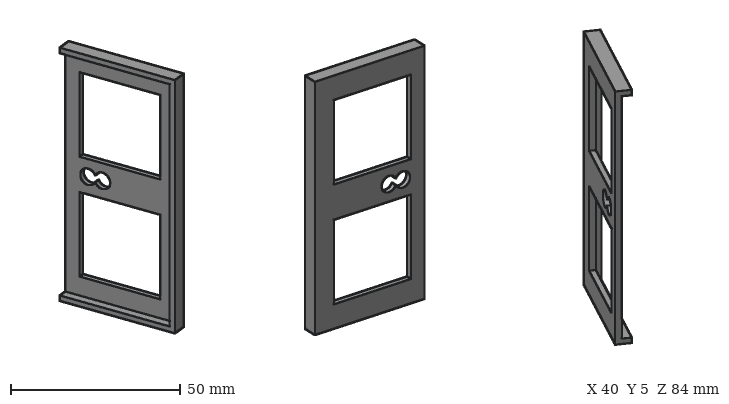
import cadquery as cq

width = 40.0
depth = 5.0
height = 84.0

rim = 1.85
web_thickness = 2.0

window_size = 28.0
window_side_margin = 5.0
window_gap = 11.8

hole_diameter = 5.4
hole_spacing = 4.95
hole_edge_distance = 8.0

left = -width / 2
front = -depth / 2


def through_cutter(profile):
    """Extend an XZ profile through the full depth of the panel."""
    return profile.extrude(depth / 2, both=True)


panel = cq.Workplane("XY").box(width, depth, height)

recess = (
    cq.Workplane("XY")
    .box(width - rim, depth - web_thickness, height - 2 * rim, centered=(False, False, True))
    .translate((left, front, 0))
)

window_x = left + window_side_margin + window_size / 2
window_z = (window_gap + window_size) / 2
windows = through_cutter(
    cq.Workplane("XZ")
    .pushPoints([(window_x, -window_z), (window_x, window_z)])
    .rect(window_size, window_size)
)

result = panel.cut(recess).cut(windows)

first_hole_x = left + hole_edge_distance
for hole_x in (first_hole_x, first_hole_x + hole_spacing):
    hole = through_cutter(cq.Workplane("XZ").center(hole_x, 0).circle(hole_diameter / 2))
    result = result.cut(hole)